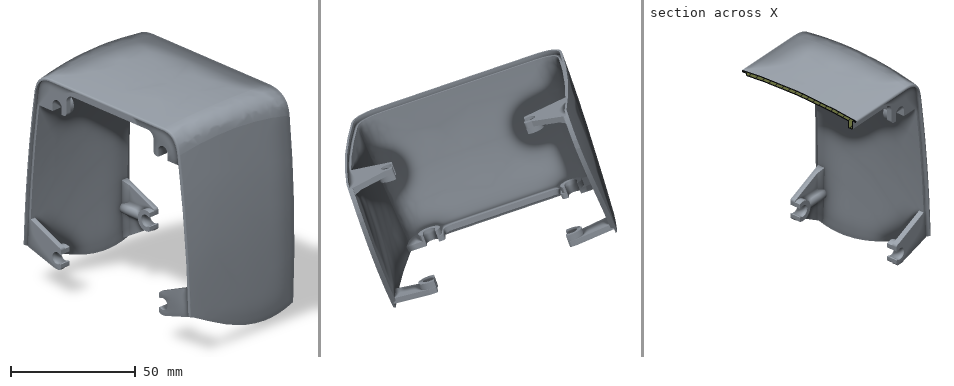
import cadquery as cq

DEPTH = 59.0
HALF_DEPTH = DEPTH / 2
CROWN_Z = 96.3

MID_WALL_Z = 46.2
FRONT_STATION = (-HALF_DEPTH, 48.0, 45.9, (41.4, 85.3), 32.3, 94.3)
MIDDLE_STATION = (0.0, 47.2, 47.0, (43.6, 88.6), 33.7, CROWN_Z)
BACK_STATION = (HALF_DEPTH, 46.6, 47.3, (44.8, 84.8), 32.8, 94.7)
STATIONS = (FRONT_STATION, MIDDLE_STATION, BACK_STATION)
WALL = 2.0
LIP_WALL = 0.9
LIP_DEPTH = 2.0
FRONT_EDGE_ROUND = 0.8
CORNER_SHIFT_SHARE = 0.35

LOWER_EDGE = ((HALF_DEPTH, 2.8), (13.5, 0.0), (-11.1, 6.8), (-HALF_DEPTH, 16.2))

PLATE = 2.3
BOSS_DEPTH = 4.9
BOSS_RADIUS = 4.6
PIN_RADIUS = 2.6
PIN_X = 30.2
PLATE_Y = HALF_DEPTH - LIP_DEPTH

BRACKET_PIN_Z = 15.2
BRACKET_TIP_X = 28.0
MOUTH_HALF_HEIGHT = 2.1
BRACKET_TOP_Z = 27.1
BRACKET_NOSE_Z = (10.3, 20.3)
BRACKET_ROOT_X = 44.5
NOSE_ROUND = 1.2
NOSE_LOWER_X = 31.2
FRONT_ROOT_LOWER = (46.9, 14.9)
BACK_ROOT_LOWER = (BRACKET_ROOT_X, 2.3)
RIB_RADIUS = 2.3
RIB_FILLET = 2.0
RIB_START_X = PIN_X + (PIN_RADIUS + BOSS_RADIUS) / 2
WEB_X = 42.3
WEB_END_X = 45.2
WEB_RISE = 1.0

TAB_BOTTOM_Z = 79.6
TAB_PIN_Z = 82.6
TAB_INNER_X = 24.9
TAB_TIP_ROUND = 1.5
BRIDGE_Z = 89.6
BRIDGE_ROUND = 3.5

REACH = 57.8


def station_wire(station, inset):
    """Closed cross-section of the hood at one depth, moved inwards by inset."""
    y, foot_x, mid_x, shoulder, flat_x, roof_z = station
    corner_shift = CORNER_SHIFT_SHARE * inset
    foot = cq.Vector(foot_x - inset, y, -inset)
    middle = cq.Vector(mid_x - inset, y, MID_WALL_Z)
    corner = cq.Vector(shoulder[0] - inset, y, shoulder[1] - corner_shift)
    roof = cq.Vector(flat_x - corner_shift, y, roof_z - inset)
    wall = cq.Edge.makeThreePointArc(foot, middle, corner)
    bend = cq.Edge.makeSpline([corner, roof], tangents=[wall.tangentAt(1), cq.Vector(-1, 0, 0)])
    left_wall = wall.mirror("YZ")
    left_bend = bend.mirror("YZ")
    left_roof = cq.Vector(-roof.x, y, roof.z)
    left_foot = cq.Vector(-foot.x, y, foot.z)
    roof_line = cq.Edge.makeLine(roof, left_roof)
    floor_line = cq.Edge.makeLine(left_foot, foot)
    return cq.Wire.assembleEdges([wall, bend, roof_line, left_bend, left_wall, floor_line])


def hood(inset):
    """Solid lofted through the stations, moved inwards by inset."""
    wires = [station_wire(station, inset) for station in STATIONS]
    return cq.Workplane(cq.Solid.makeLoft(wires))


def slab(y_start, y_end):
    """Block across the whole part between two depths."""
    middle_y = (y_start + y_end) / 2
    return cq.Workplane("XY").box(4 * REACH, y_end - y_start, 4 * REACH).translate((0, middle_y, 0))


def xz():
    """Fresh sketch on the XZ plane."""
    return cq.Workplane("XZ")


def extrude_xz(sketch, y_start, y_end):
    """Extrude a sketch drawn on the XZ plane from one depth to another."""
    return sketch.extrude(y_start - y_end).translate((0, y_start, 0))


def boss_at(pin_z, plate_y, inward):
    """Round boss that thickens a plate around its pin seat."""
    return extrude_xz(xz().center(PIN_X, pin_z).circle(BOSS_RADIUS), plate_y, plate_y + inward * BOSS_DEPTH)


def both_sides(body):
    """Body together with its mirror image across X = 0."""
    return body.union(body.mirror("YZ"))


outer = hood(0).faces("<Y").edges("not(<Z)").fillet(FRONT_EDGE_ROUND)
inner_volume = hood(LIP_WALL)
above_lower_edge = (
    cq.Workplane("YZ")
    .moveTo(*LOWER_EDGE[0])
    .spline(LOWER_EDGE[1:], includeCurrent=True)
    .lineTo(-HALF_DEPTH, 2 * CROWN_Z)
    .lineTo(HALF_DEPTH, 2 * CROWN_Z)
    .close()
    .extrude(2 * REACH, both=True)
)
lip_recess = inner_volume.cut(slab(-PLATE_Y, PLATE_Y))
shell = outer.cut(hood(WALL)).cut(lip_recess).intersect(above_lower_edge)


def bracket_outline(root_lower):
    """Right-hand bracket plate, from beyond the wall to its rounded nose."""
    low_z, high_z = BRACKET_NOSE_Z
    nose_x = BRACKET_TIP_X + NOSE_ROUND
    top_slope = (BRACKET_TOP_Z - high_z) / (BRACKET_ROOT_X - nose_x)
    return (
        xz()
        .moveTo(REACH, high_z + top_slope * (REACH - nose_x))
        .lineTo(nose_x, high_z)
        .radiusArc((BRACKET_TIP_X, high_z - NOSE_ROUND), -NOSE_ROUND)
        .lineTo(BRACKET_TIP_X, low_z + NOSE_ROUND)
        .radiusArc((nose_x, low_z), -NOSE_ROUND)
        .lineTo(NOSE_LOWER_X, low_z)
        .lineTo(*root_lower)
        .lineTo(REACH, root_lower[1])
        .close()
    )


def bracket(root_lower, plate_y, inward):
    """Right-hand bracket with its snap mouth; inward is the y direction its boss points to."""
    plate = extrude_xz(bracket_outline(root_lower), plate_y, plate_y + inward * PLATE)
    boss = boss_at(BRACKET_PIN_Z, plate_y, inward)
    boss = boss.intersect(extrude_xz(bracket_outline(root_lower), -HALF_DEPTH, HALF_DEPTH))
    pin_hole = extrude_xz(xz().center(PIN_X, BRACKET_PIN_Z).circle(PIN_RADIUS), -HALF_DEPTH, HALF_DEPTH)
    mouth = cq.Workplane("XY").box(PIN_X, DEPTH, 2 * MOUTH_HALF_HEIGHT)
    mouth = mouth.translate((PIN_X / 2, 0, BRACKET_PIN_Z))
    return plate.union(boss).cut(pin_hole).cut(mouth)


def back_bracket_stiffeners(face_y):
    """Half-round rib and sloped web that tie the back plate to the side wall."""
    rib = (
        cq.Workplane("YZ", origin=(RIB_START_X, face_y, BRACKET_PIN_Z))
        .circle(RIB_RADIUS)
        .extrude(REACH - RIB_START_X)
    )
    backing = extrude_xz(bracket_outline(BACK_ROOT_LOWER), face_y, PLATE_Y)
    stiffeners = rib.cut(slab(face_y, HALF_DEPTH)).union(backing)
    rib_foot = cq.selectors.BoxSelector(
        (RIB_START_X, face_y - PLATE / 2, BRACKET_PIN_Z - BOSS_RADIUS),
        (REACH, face_y + PLATE / 2, BRACKET_PIN_Z + BOSS_RADIUS),
    )
    stiffeners = stiffeners.edges("|X").edges(rib_foot).fillet(RIB_FILLET)
    web_section = (
        (WEB_X, face_y),
        (WEB_END_X, face_y - WEB_RISE),
        (REACH, face_y - WEB_RISE),
        (REACH, face_y),
    )
    web = cq.Workplane("XY").polyline(web_section).close().extrude(CROWN_Z)
    web = web.intersect(extrude_xz(bracket_outline(BACK_ROOT_LOWER), -HALF_DEPTH, HALF_DEPTH))
    return stiffeners.union(web)


front_bracket = bracket(FRONT_ROOT_LOWER, -PLATE_Y, 1)
stiffeners = back_bracket_stiffeners(PLATE_Y - PLATE)
beside_pin = cq.Workplane("XY").box(REACH, DEPTH, CROWN_Z).translate((RIB_START_X + REACH / 2, 0, 0))
back_bracket = bracket(BACK_ROOT_LOWER, PLATE_Y, -1).union(stiffeners.intersect(beside_pin))

tab_half = (
    xz()
    .moveTo(0, CROWN_Z)
    .lineTo(0, BRIDGE_Z)
    .lineTo(TAB_INNER_X - BRIDGE_ROUND, BRIDGE_Z)
    .radiusArc((TAB_INNER_X, BRIDGE_Z - BRIDGE_ROUND), BRIDGE_ROUND)
    .lineTo(TAB_INNER_X, TAB_BOTTOM_Z + TAB_TIP_ROUND)
    .radiusArc((TAB_INNER_X + TAB_TIP_ROUND, TAB_BOTTOM_Z), -TAB_TIP_ROUND)
    .lineTo(REACH, TAB_BOTTOM_Z)
    .lineTo(REACH, CROWN_Z)
    .close()
)
tab = extrude_xz(tab_half, -PLATE_Y, -PLATE_Y + PLATE)
tab_boss = boss_at(TAB_PIN_Z, -PLATE_Y, 1)
below_tab = cq.Workplane("XY").box(4 * REACH, DEPTH, TAB_BOTTOM_Z, centered=(True, True, False))
tab = tab.union(tab_boss.cut(below_tab))
slot = xz().moveTo(PIN_X - PIN_RADIUS, 0).lineTo(PIN_X - PIN_RADIUS, TAB_PIN_Z)
slot = slot.threePointArc((PIN_X, TAB_PIN_Z + PIN_RADIUS), (PIN_X + PIN_RADIUS, TAB_PIN_Z))
slot = slot.lineTo(PIN_X + PIN_RADIUS, 0).close()
tab = tab.cut(extrude_xz(slot, -HALF_DEPTH, HALF_DEPTH))

hooks = both_sides(front_bracket.union(back_bracket).union(tab)).intersect(inner_volume)
result = shell.union(hooks)